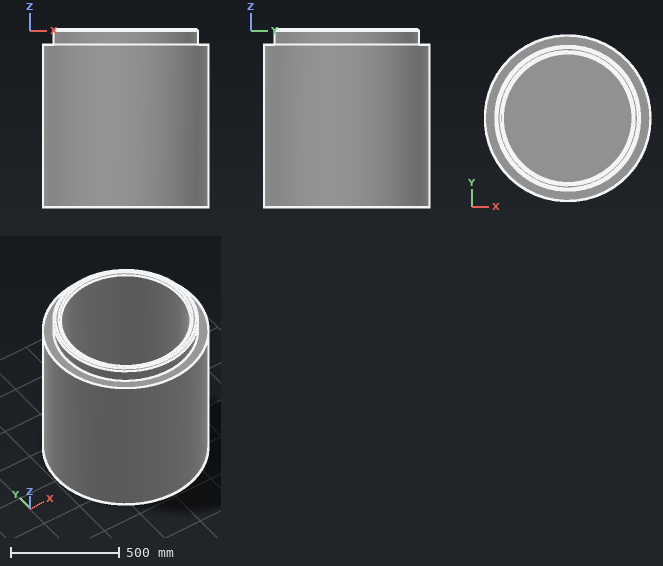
import cadquery as cq

total_height = 824.0
body_radius = 383.0
base_height = 120.0

spigot_radius = 334.5
spigot_height = 72.0

cavity_radius = 300.0

rim_chamfer = 10.0

shoulder_z = total_height - spigot_height
chamfer_z = total_height - rim_chamfer

profile = [
    (0, 0),
    (body_radius, 0),
    (body_radius, shoulder_z),
    (spigot_radius, shoulder_z),
    (spigot_radius, chamfer_z),
    (spigot_radius - rim_chamfer, total_height),
    (cavity_radius + rim_chamfer, total_height),
    (cavity_radius, chamfer_z),
    (cavity_radius, base_height),
    (0, base_height),
]

result = cq.Workplane("XZ").polyline(profile).close().revolve(360, (0, 0), (0, 1))